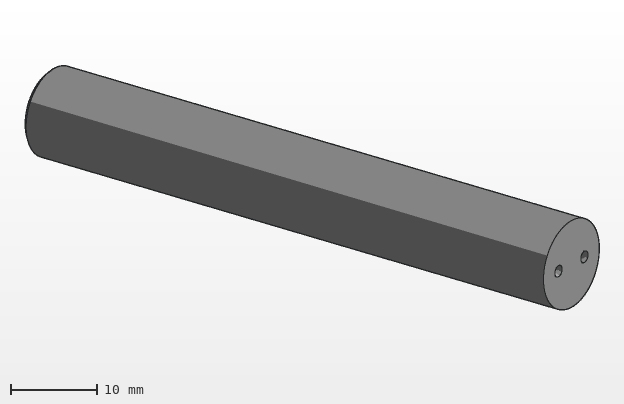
import cadquery as cq
import math

rod_length = 75.0
rod_diameter = 11.0
end_chamfer = 0.6

hole_diameter = 1.4
hole_spacing = 5.1
helix_angle = 30.0
helix_pitch = math.pi * rod_diameter / math.tan(math.radians(helix_angle))
hole_twist = 360.0 * rod_length / helix_pitch

rod = cq.Workplane("YZ").circle(rod_diameter / 2).extrude(rod_length)
result = rod.faces("<X").chamfer(end_chamfer)

for hole_z in (hole_spacing / 2, -hole_spacing / 2):
    coolant_hole = (
        cq.Workplane("YZ")
        .center(0, hole_z)
        .circle(hole_diameter / 2)
        .center(0, -hole_z)
        .twistExtrude(rod_length, hole_twist)
    )
    result = result.cut(coolant_hole)